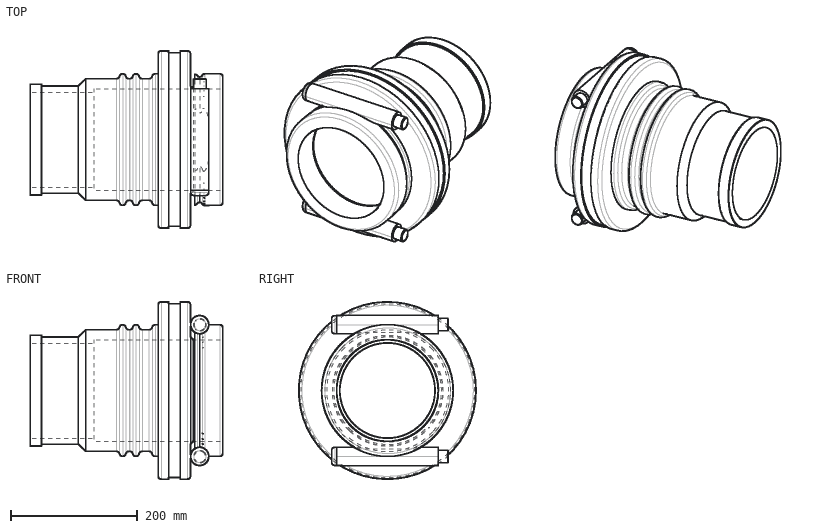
import cadquery as cq
import math

total_length = 304.0
lip_length = 18.5
cone_start = 76.0
cone_end = 88.0
ribs_start = 136.0
rib_half_width = 10.0
rib_gap = 1.0
rib_count = 2
shoulder_start = 187.3
flange_start = 202.0
flange_groove_start = 218.5
flange_groove_end = 236.5
flange_end = 253.0
collar_start = 259.3
bore_step = 100.5

lip_radius = 175.0 / 2
inlet_radius = 169.5 / 2
sleeve_radius = 192.0 / 2
rib_radius = 208.0 / 2
flange_radius = 280.0 / 2
flange_groove_radius = 274.5 / 2
neck_radius = 161.7 / 2
neck_base_radius = inlet_radius
collar_radius = rib_radius
collar_groove_radius = 99.0
collar_crest_radius = 103.5
inlet_bore_radius = 150.0 / 2
main_bore_radius = 160.0 / 2

edge_round = 5.0
lip_chamfer = 0.5

pin_barrel_radius = 29.0 / 2
pin_head_radius = 28.5 / 2
pin_tip_radius = 20.0 / 2
pin_barrel_half_length = 80.3
pin_head_length = 8.0
pin_tip_length = 15.8
pin_tip_chamfer = 1.2
pin_x = flange_end + pin_barrel_radius
pin_z = rib_radius
collar_wave_half_width = pin_x - collar_start


def wave_to(outline, start, end):
    """Add an S-curve of two equal arcs that is parallel to the axis at both ends."""
    width = end[0] - start[0]
    height = end[1] - start[1]
    rise = math.copysign(1, height)
    arc_radius = (width**2 + height**2) / (4 * abs(height))
    half_angle = math.asin(width / 2 / arc_radius) / 2
    along = arc_radius * math.sin(half_angle)
    sag = rise * arc_radius * (1 - math.cos(half_angle))
    middle = ((start[0] + end[0]) / 2, (start[1] + end[1]) / 2)
    outline = outline.threePointArc((start[0] + along, start[1] + sag), middle)
    return outline.threePointArc((end[0] - along, end[1] - sag), end)


def round_corner(outline, center_x, center_radius, angle, end):
    """Add a quarter round of edge_round whose middle lies at the given angle in degrees."""
    direction = math.radians(angle)
    middle = (
        center_x + edge_round * math.cos(direction),
        center_radius + edge_round * math.sin(direction),
    )
    return outline.threePointArc(middle, end)


def make_body():
    """Turn the whole body, including its stepped bore, about the X axis."""
    outline = (
        cq.Workplane("XY")
        .moveTo(0, inlet_bore_radius)
        .lineTo(0, lip_radius - lip_chamfer)
        .lineTo(lip_chamfer, lip_radius)
        .lineTo(lip_length - lip_chamfer, lip_radius)
        .lineTo(lip_length, lip_radius - lip_chamfer)
        .lineTo(lip_length, inlet_radius)
        .lineTo(cone_start, inlet_radius)
        .lineTo(cone_end, sleeve_radius)
    )

    for index in range(rib_count):
        left = ribs_start + index * (2 * rib_half_width + rib_gap)
        peak = left + rib_half_width
        right = peak + rib_half_width
        outline = outline.lineTo(left, sleeve_radius)
        outline = wave_to(outline, (left, sleeve_radius), (peak, rib_radius))
        outline = wave_to(outline, (peak, rib_radius), (right, sleeve_radius))
    shoulder_end = shoulder_start + rib_half_width
    outline = outline.lineTo(shoulder_start, sleeve_radius)
    outline = wave_to(outline, (shoulder_start, sleeve_radius), (shoulder_end, rib_radius))

    rim_center = flange_radius - edge_round
    left_center = flange_start + edge_round
    right_center = flange_end - edge_round
    outline = outline.lineTo(flange_start, rib_radius).lineTo(flange_start, rim_center)
    outline = round_corner(outline, left_center, rim_center, 135, (left_center, flange_radius))
    outline = (
        outline.lineTo(flange_groove_start, flange_radius)
        .lineTo(flange_groove_start, flange_groove_radius)
        .lineTo(flange_groove_end, flange_groove_radius)
        .lineTo(flange_groove_end, flange_radius)
        .lineTo(right_center, flange_radius)
    )
    outline = round_corner(outline, right_center, rim_center, 45, (flange_end, rim_center))

    bevel_end = flange_end + neck_base_radius - neck_radius
    outline = (
        outline.lineTo(flange_end, neck_base_radius)
        .lineTo(bevel_end, neck_radius)
        .lineTo(collar_start, neck_radius)
    )

    crest = (collar_start, collar_crest_radius)
    valley = (pin_x, collar_groove_radius)
    groove_end = (pin_x + collar_wave_half_width, collar_radius)
    outline = outline.lineTo(*crest)
    outline = wave_to(outline, crest, valley)
    outline = wave_to(outline, valley, groove_end)
    end_center_x = total_length - edge_round
    end_center_radius = collar_radius - edge_round
    outline = outline.lineTo(end_center_x, collar_radius)
    outline = round_corner(
        outline, end_center_x, end_center_radius, 45, (total_length, end_center_radius)
    )

    outline = (
        outline.lineTo(total_length, main_bore_radius)
        .lineTo(bore_step, main_bore_radius)
        .lineTo(bore_step, inlet_bore_radius)
        .close()
    )
    return outline.revolve(360, (0, 0, 0), (1, 0, 0))


def pin_section(z, y_start, radius, length):
    """Make a cylinder that starts at y_start and runs toward +Y."""
    return (
        cq.Workplane("XZ", origin=(pin_x, y_start, z))
        .circle(radius)
        .extrude(-length)
    )


def make_pin(z):
    """Make a pin with a rounded head toward -Y and a slim tip toward +Y."""
    barrel = pin_section(z, -pin_barrel_half_length, pin_barrel_radius, 2 * pin_barrel_half_length)
    head_start = -pin_barrel_half_length - pin_head_length
    head = pin_section(z, head_start, pin_head_radius, pin_head_length)
    head = head.faces("<Y").edges().fillet(edge_round)
    tip = pin_section(z, pin_barrel_half_length, pin_tip_radius, pin_tip_length)
    tip = tip.faces(">Y").edges().chamfer(pin_tip_chamfer)
    return barrel.union(head).union(tip)


result = make_body()
for pin_height in (pin_z, -pin_z):
    result = result.union(make_pin(pin_height))

bore_clearance = (
    cq.Workplane("YZ", origin=(bore_step, 0, 0))
    .circle(main_bore_radius)
    .extrude(total_length - bore_step)
)
result = result.cut(bore_clearance)